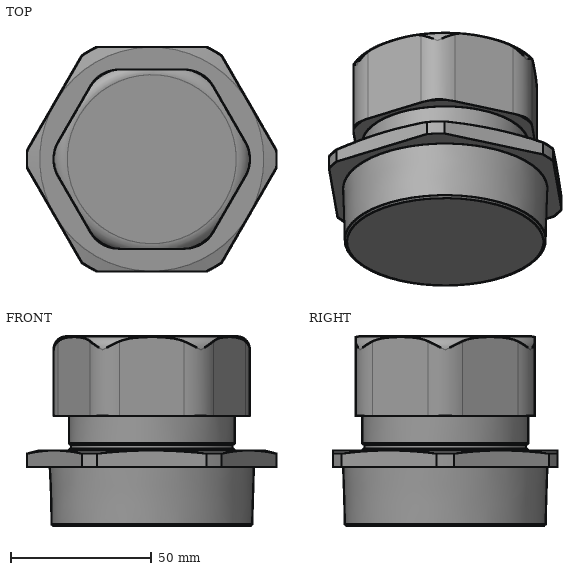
import cadquery as cq
import math

FLANGE_BOTTOM = 21.0
FLANGE_TOP = 27.0
COLLAR_BOTTOM = 29.6
CAP_BOTTOM = 39.15
CAP_TOP = 67.6

PLUG_TOP_DIAMETER = 72.8
PLUG_BOTTOM_DIAMETER = 71.5
PLUG_CHAMFER = 0.8

FLANGE_FLATS = 80.0
FLANGE_CORNER_DIAMETER = 89.0
FLANGE_CHAMFER_DIAMETER = 79.7
FLANGE_CHAMFER_DROP = 1.2

GROOVE_DIAMETER = 57.7
COLLAR_DIAMETER = 59.2
GROOVE_DEPTH = (COLLAR_DIAMETER - GROOVE_DIAMETER) / 2

CAP_FLATS = 63.8
CAP_CORNER_RADIUS = 12.1
CAP_TOP_ROUNDING = 4.9
CAP_BOTTOM_CHAMFER = 0.3


def hexagon(across_flats, bottom, top):
    """Hexagonal prism with two of its corners on the X axis."""
    across_corners = across_flats / math.cos(math.radians(30))
    return cq.Workplane("XY").workplane(offset=bottom).polygon(6, across_corners).extrude(top - bottom)


def cylinder(diameter, bottom, top):
    return cq.Workplane("XY").workplane(offset=bottom).circle(diameter / 2).extrude(top - bottom)


def make_plug():
    return (
        cq.Workplane("XY")
        .circle(PLUG_BOTTOM_DIAMETER / 2)
        .workplane(offset=FLANGE_BOTTOM)
        .circle(PLUG_TOP_DIAMETER / 2)
        .loft()
        .faces("<Z")
        .chamfer(PLUG_CHAMFER)
    )


def make_flange():
    chamfer_width = (FLANGE_CORNER_DIAMETER - FLANGE_CHAMFER_DIAMETER) / 2
    disc = (
        cylinder(FLANGE_CORNER_DIAMETER, FLANGE_BOTTOM, FLANGE_TOP)
        .faces(">Z").edges()
        .chamfer(FLANGE_CHAMFER_DROP, chamfer_width)
    )
    return hexagon(FLANGE_FLATS, FLANGE_BOTTOM, FLANGE_TOP).intersect(disc)


def make_collar():
    collar_radius = COLLAR_DIAMETER / 2
    groove_radius = GROOVE_DIAMETER / 2
    profile = [
        (0, FLANGE_TOP),
        (collar_radius, FLANGE_TOP),
        (groove_radius, FLANGE_TOP + GROOVE_DEPTH),
        (groove_radius, COLLAR_BOTTOM - GROOVE_DEPTH),
        (collar_radius, COLLAR_BOTTOM),
        (collar_radius, CAP_BOTTOM),
        (0, CAP_BOTTOM),
    ]
    return cq.Workplane("XZ").polyline(profile).close().revolve(360, (0, 0), (0, 1))


def make_cap():
    prism = hexagon(CAP_FLATS, CAP_BOTTOM, CAP_TOP).edges("|Z").fillet(CAP_CORNER_RADIUS)
    corner_diameter = (CAP_FLATS - 2 * CAP_CORNER_RADIUS) / math.cos(math.radians(30)) + 2 * CAP_CORNER_RADIUS
    blank = (
        cylinder(corner_diameter, CAP_BOTTOM, CAP_TOP)
        .faces(">Z").edges().fillet(CAP_TOP_ROUNDING)
        .faces("<Z").edges().chamfer(CAP_BOTTOM_CHAMFER)
    )
    return prism.intersect(blank)


result = make_plug().union(make_flange()).union(make_collar()).union(make_cap())